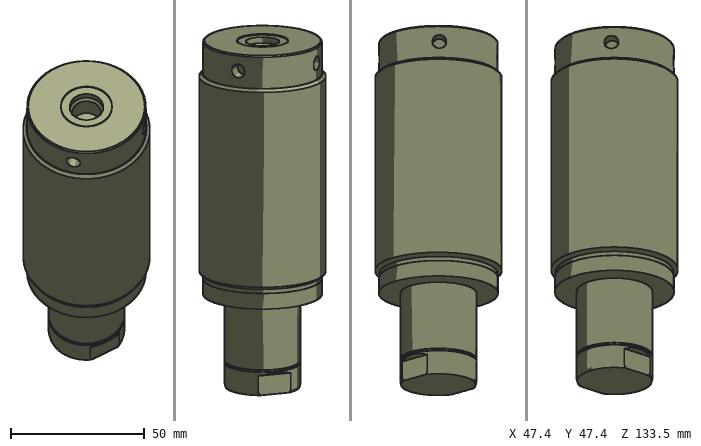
import cadquery as cq
import math

TOTAL_HEIGHT = 133.5

ROD_RADIUS = 28.4 / 2
ROD_END_CHAMFER_HEIGHT = 1.1
ROD_END_CHAMFER_WIDTH = 0.3
ROD_GROOVE_BOTTOM = 9.1
ROD_GROOVE_TOP = 9.9
ROD_GROOVE_DEPTH = 0.4

FLAT_DISTANCE = 12.7
FLAT_HEIGHT = 7.6
FLAT_RUNOUT_HEIGHT = 1.1

BODY_RADIUS = 47.4 / 2
COLLAR_RADIUS = 44.6 / 2
COLLAR_BOTTOM = 35.6
COLLAR_TOP = 41.6
NECK_RADIUS = 22.2
NECK_TOP = 43.2
BODY_BOTTOM = 44.5
BODY_TOP = 119.7
CAP_RADIUS = 44.5 / 2
CAP_BOTTOM = 120.8
SHOULDER_LEDGE_WIDTH = 0.3
CAP_CHAMFER = 0.5

RECESS_RADIUS = 19.1 / 2
RECESS_DEPTH = 0.4
PORT_RADIUS = 6.3
PORT_DEPTH = 2.7
BORE_RADIUS = 5.3
BORE_DEPTH = 10.7
BORE_COUNTERSINK_DEPTH = 1.0

SPANNER_HOLE_COUNT = 4
SPANNER_HOLE_DIAMETER = 5.2
SPANNER_HOLE_DEPTH = 5.3
SPANNER_HOLE_Z = 127.1
SPANNER_START_ANGLE = 45.0


def turned_body():
    """Revolve the outer half profile about the Z axis."""
    rod_groove_radius = ROD_RADIUS - ROD_GROOVE_DEPTH
    profile = [
        (0, 0),
        (ROD_RADIUS - ROD_END_CHAMFER_WIDTH, 0),
        (ROD_RADIUS, ROD_END_CHAMFER_HEIGHT),
        (ROD_RADIUS, ROD_GROOVE_BOTTOM),
        (rod_groove_radius, ROD_GROOVE_BOTTOM),
        (rod_groove_radius, ROD_GROOVE_TOP),
        (ROD_RADIUS, ROD_GROOVE_TOP),
        (ROD_RADIUS, COLLAR_BOTTOM),
        (COLLAR_RADIUS, COLLAR_BOTTOM),
        (COLLAR_RADIUS, COLLAR_TOP),
        (NECK_RADIUS, COLLAR_TOP),
        (NECK_RADIUS, NECK_TOP),
        (BODY_RADIUS, BODY_BOTTOM),
        (BODY_RADIUS, BODY_TOP),
        (CAP_RADIUS + SHOULDER_LEDGE_WIDTH, CAP_BOTTOM),
        (CAP_RADIUS, CAP_BOTTOM),
        (CAP_RADIUS, TOTAL_HEIGHT - CAP_CHAMFER),
        (CAP_RADIUS - CAP_CHAMFER, TOTAL_HEIGHT),
        (0, TOTAL_HEIGHT),
    ]
    return cq.Workplane("XZ").polyline(profile).close().revolve(360, (0, 0), (0, 1))


def flat_cutter(side):
    """Wedge-topped block that cuts one wrench flat; side is -1 or +1."""
    outer = 2 * ROD_RADIUS
    runout_top = FLAT_HEIGHT + FLAT_RUNOUT_HEIGHT
    outline = [
        (side * FLAT_DISTANCE, 0),
        (side * outer, 0),
        (side * outer, runout_top),
        (side * ROD_RADIUS, runout_top),
        (side * FLAT_DISTANCE, FLAT_HEIGHT),
    ]
    return cq.Workplane("XZ").polyline(outline).close().extrude(ROD_RADIUS, both=True)


def top_pocket(radius, depth):
    """Round pocket cutter sunk from the top face."""
    return cq.Workplane("XY").workplane(offset=TOTAL_HEIGHT - depth).circle(radius).extrude(depth)


def bore_countersink():
    """Cone cutter leading from the port floor into the bore."""
    floor = cq.Vector(0, 0, TOTAL_HEIGHT - PORT_DEPTH)
    return cq.Solid.makeCone(
        PORT_RADIUS, BORE_RADIUS, BORE_COUNTERSINK_DEPTH, floor, cq.Vector(0, 0, -1)
    )


def spanner_hole(angle):
    """Blind radial hole cutter at the given angle about Z, in degrees."""
    direction = cq.Vector(math.cos(math.radians(angle)), math.sin(math.radians(angle)), 0)
    start = direction * (CAP_RADIUS - SPANNER_HOLE_DEPTH) + cq.Vector(0, 0, SPANNER_HOLE_Z)
    return cq.Solid.makeCylinder(SPANNER_HOLE_DIAMETER / 2, 2 * SPANNER_HOLE_DEPTH, start, direction)


result = turned_body()

for flat_side in (-1, 1):
    result = result.cut(flat_cutter(flat_side))

for pocket_radius, pocket_depth in (
    (RECESS_RADIUS, RECESS_DEPTH),
    (PORT_RADIUS, PORT_DEPTH),
    (BORE_RADIUS, BORE_DEPTH),
):
    result = result.cut(top_pocket(pocket_radius, pocket_depth))

result = result.cut(bore_countersink())

for index in range(SPANNER_HOLE_COUNT):
    hole_angle = SPANNER_START_ANGLE + index * 360 / SPANNER_HOLE_COUNT
    result = result.cut(spanner_hole(hole_angle))